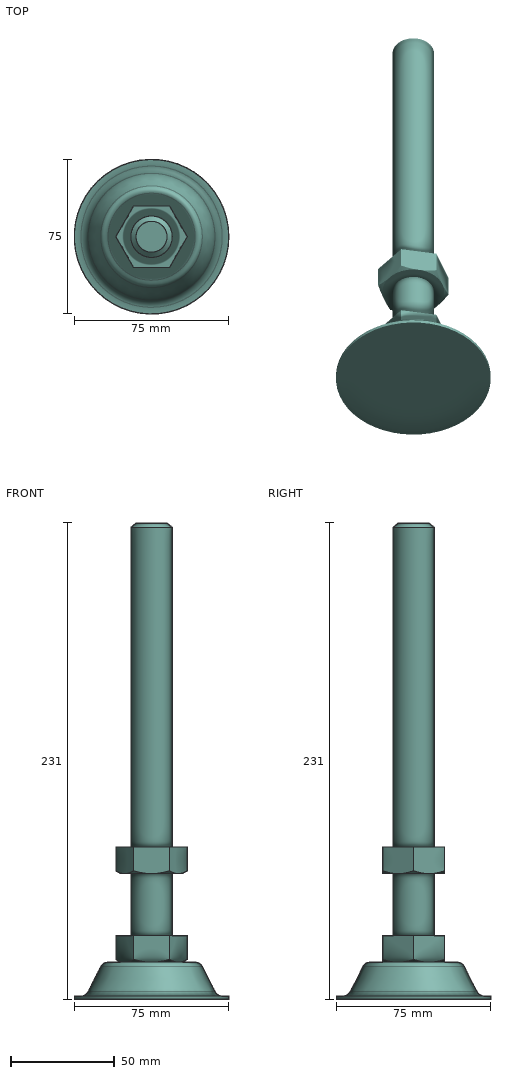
import cadquery as cq
import math

total_height = 231.0

flange_diameter = 75.0
flange_thickness = 1.6
foot_height = 18.0
cone_bottom_radius = 31.9
cone_top_radius = 23.5
cone_edge_fillet = 4.0

stud_diameter = 20.0
stud_chamfer_width = 2.5
stud_chamfer_height = 2.0

nut_across_flats = 30.0
nut_height = 13.0
nut_spacing = 43.0
nut_chamfer_angle = 30.0
nut_corner_radius = nut_across_flats / math.sqrt(3)
nut_bottom_radius = nut_across_flats / 2
nut_chamfer_height = (nut_corner_radius - nut_bottom_radius) * math.tan(math.radians(nut_chamfer_angle))


def make_foot():
    outline = [
        (0, 0),
        (flange_diameter / 2, 0),
        (flange_diameter / 2, flange_thickness),
        (cone_bottom_radius, flange_thickness),
        (cone_top_radius, foot_height),
        (0, foot_height),
    ]
    foot = cq.Workplane("XZ").polyline(outline).close().revolve(360, (0, 0), (0, 1))
    cone_ends = foot.faces("%CONE").edges("%CIRCLE")
    return cone_ends.fillet(cone_edge_fillet)


def make_stud():
    stud_radius = stud_diameter / 2
    outline = [
        (0, foot_height),
        (stud_radius, foot_height),
        (stud_radius, total_height - stud_chamfer_height),
        (stud_radius - stud_chamfer_width, total_height),
        (0, total_height),
    ]
    return cq.Workplane("XZ").polyline(outline).close().revolve(360, (0, 0), (0, 1))


def make_nut(bottom_z):
    hexagon = cq.Workplane("XY").polygon(6, 2 * nut_corner_radius).extrude(nut_height)
    blank_outline = [
        (0, 0),
        (nut_bottom_radius, 0),
        (nut_corner_radius, nut_chamfer_height),
        (nut_corner_radius, nut_height),
        (0, nut_height),
    ]
    blank = cq.Workplane("XZ").polyline(blank_outline).close().revolve(360, (0, 0), (0, 1))
    bore = cq.Workplane("XY").circle(stud_diameter / 2).extrude(nut_height)
    return hexagon.intersect(blank).cut(bore).translate((0, 0, bottom_z))


foot = make_foot()
stud = make_stud()

nuts = []
for bottom_z in (foot_height, foot_height + nut_spacing):
    nuts.append(make_nut(bottom_z).val())

result = cq.Compound.makeCompound([foot.val(), stud.val(), *nuts])